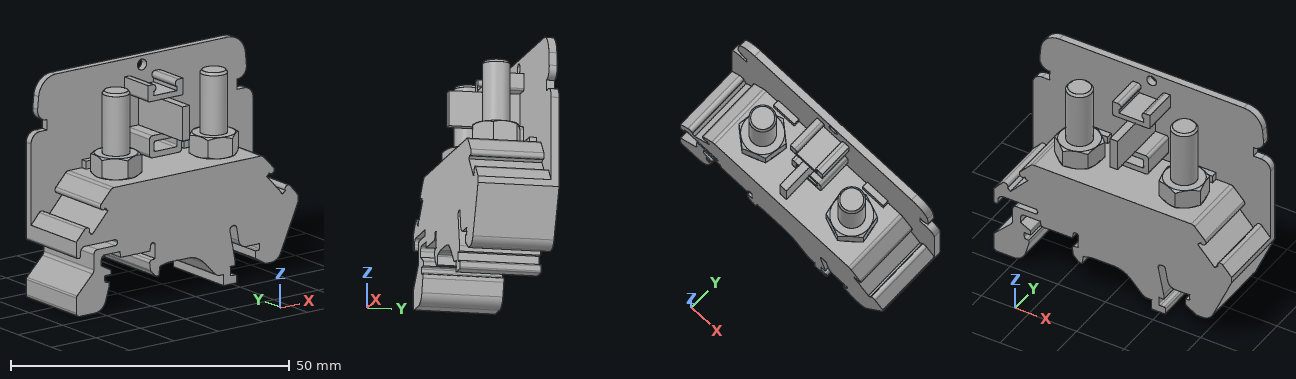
import cadquery as cq
import math

half_length = 25.0
depth = 15.0
plate_thickness = 1.5
plate_front = depth - plate_thickness
plate_top = 41.4
deck_z = 22.8

hole_diameter = 2.0
hole_z = 39.7

stud_x = 11.0
stud_y = 6.7
stud_diameter = 5.0
stud_top = 38.45
stud_tip_height = 0.5
stud_tip_inset = 0.35
nut_sides = 6
nut_width = 8.0
nut_height = 4.0
nut_face_radius = 3.95
nut_bevel_angle = 30.0
nut_turn = 20.0

tab_width = 5.1
tab_depth = 1.25
tab_top = 24.3

bracket_front = 6.5
holder_half_width = 3.95
holder_bottom = 35.0
holder_floor = 36.0
holder_top = 38.1
holder_round = 0.35
cavity_half_width = 2.6
lip_radius = 0.7
lip_foot_z = 36.7
web_width = 1.6
web_front = 0.4
tube_half_width = 3.6
tube_bottom = 24.4
tube_top = 28.55
tube_round = 0.6
bore_bottom = 25.5
bore_top = 27.45
bore_round = 0.4

ARC_THROUGH = None

underside = [
    (-half_length, 10.9, 0.45), (-24.05, 10.9, 0.45), (-24.05, 12.95, 1.0),
    (-15.75, 12.95, 0.5), (-15.75, 11.85, 0.5), (-21.05, 11.85, 0.85),
    (-21.05, 7.75, 1.0), (-half_length, 3.8, 0.5), (-half_length, 0, 0.75),
    (-18.9, 0, 2.65), (-17.6, 4.45, 0), (-17.6, 5.25, 0), (-18.5, 5.25, 0.5),
    (-18.65, 6.6, 0.25), (-17.2, 6.6, 0), (-17.2, 7.5, 0.2), (-19.35, 8.65, 0),
    (-19.35, 10.55, 0.85), (-15.2, 10.55, 0), (-15.0, 9.45, 0), (-8.45, 9.45, 0),
    (-8.2, 10.85, 0.4), (-7.25, 10.85, 0.4),
    (-7.25, 7.85, 0), (-8.55, 7.6, 0.45), (-8.3, 5.7, 0.4), (-7.05, 4.45, 0),
    (-6.4, 4.45, 0), (-6.15, 6.2, 0.3),
    (-4.3, 6.6, 4.0), (2.3, 6.6, 5.05), (6.65, 2.1, 1.75),
    (8.15, 2.1, 0), (8.15, 0, 0), (11.15, 0, 0.3), (11.15, 1.55, 0.3), (9.7, 1.55, 0.3),
    (9.7, 3.3, 0), (10.75, 3.3, 0), (10.75, 4.3, 0),
    (9.4, 10.85, 0.7), (11.0, 10.85, 0.5), (11.8, 6.45, 1.65),
    (16.2, 6.45, 0), (16.2, 5.25, 0.25), (15.3, 5.25, 0), (15.3, 3.85, 0),
    (17.65, 2.45, 0), (20.4, 2.45, 2.4), (half_length, 12.85, 0),
]

plate_edge = [
    (-half_length, 31.25, 2.0), (-21.4, 31.25, 0), (-21.4, 33.15, 0),
    (-23.75, 33.15, 2.1), (-22.95, plate_top, 3.95),
]

body_edge = [
    (-half_length, 14.05, 0), (-23.15, 16.1, 0), (-22.2, 16.15, ARC_THROUGH), (-22.05, 15.4, 0),
    (-21.45, 14.85, 0), (-17.9, 18.7, 0),
    (-18.45, 19.25, 0), (-19.35, 19.2, ARC_THROUGH), (-19.4, 20.2, 0), (-16.95, deck_z, 1.0),
]


def flat(point):
    """Two coordinates of a vector in the sketch plane."""
    return point.x, point.y


def extrude_between(sketch, y_front, y_back):
    """Extrude an XZ wire from y_front back to y_back."""
    return sketch.extrude(y_front - y_back).translate((0, y_front, 0))


def rounded_outline(corners):
    """Close a polygon in XZ, rounding corners with tangent arcs and drawing ARC_THROUGH arcs."""
    stations = []
    for index, (x, z, radius) in enumerate(corners):
        corner = cq.Vector(x, z)
        if radius is ARC_THROUGH or radius == 0:
            stations.append((radius, corner, corner, corner))
            continue
        before = corners[index - 1]
        after = corners[(index + 1) % len(corners)]
        to_before = (cq.Vector(before[0], before[1]) - corner).normalized()
        to_after = (cq.Vector(after[0], after[1]) - corner).normalized()
        half_angle = to_before.getAngle(to_after) / 2
        setback = radius / math.tan(half_angle)
        bisector = (to_before + to_after).normalized()
        middle = corner + bisector * (radius / math.sin(half_angle) - radius)
        stations.append((radius, corner + to_before * setback, middle, corner + to_after * setback))

    wire = cq.Workplane("XZ").moveTo(*flat(stations[0][3]))
    through = None
    for radius, start, middle, end in stations[1:] + stations[:1]:
        if radius is ARC_THROUGH:
            through = middle
            continue
        if through is None:
            wire = wire.lineTo(*flat(start))
        else:
            wire = wire.threePointArc(flat(through), flat(start))
            through = None
        if radius > 0:
            wire = wire.threePointArc(flat(middle), flat(end))
    return wire.close()


def close_over(left_edge):
    """Close the underside: up the mirrored right edge, then down the left edge."""
    right_edge = [(-x, z, radius) for x, z, radius in left_edge]
    return rounded_outline(underside + right_edge + left_edge[::-1])


def rounded_block(half_width, bottom, top, radius, y_front, y_back):
    """Block centred on X = 0 with its four long edges rounded."""
    corners = [
        (-half_width, bottom, radius), (half_width, bottom, radius),
        (half_width, top, radius), (-half_width, top, radius),
    ]
    return extrude_between(rounded_outline(corners), y_front, y_back)


def make_plate():
    """Thin back plate over the whole height, with its pilot hole."""
    plate = extrude_between(close_over(plate_edge), plate_front, depth)
    hole = cq.Workplane("XZ").center(0, hole_z).circle(hole_diameter / 2)
    return plate.cut(extrude_between(hole, plate_front, depth))


def make_body():
    """Thick lower body, whose flat top is the deck that carries the nuts."""
    return extrude_between(close_over(body_edge), 0, plate_front)


def make_nut(turn):
    """Hexagon nut on the origin, both ends bevelled by a cone."""
    corner_radius = nut_width / 2 / math.cos(math.pi / nut_sides)
    bevel_height = (corner_radius - nut_face_radius) * math.tan(math.radians(nut_bevel_angle))
    hexagon = cq.Workplane("XY").polygon(nut_sides, 2 * corner_radius).extrude(nut_height)
    bevel_profile = [
        (0, 0), (nut_face_radius, 0), (corner_radius, bevel_height),
        (corner_radius, nut_height - bevel_height), (nut_face_radius, nut_height), (0, nut_height),
    ]
    envelope = cq.Workplane("XZ").polyline(bevel_profile).close().revolve(360, (0, 0), (0, 1))
    return hexagon.rotate((0, 0, 0), (0, 0, 1), turn).intersect(envelope)


def make_stud():
    """Stud on the origin with a bevelled tip."""
    stud = cq.Workplane("XY").circle(stud_diameter / 2).extrude(stud_top - deck_z)
    return stud.faces(">Z").edges().chamfer(stud_tip_height, stud_tip_inset)


def make_tab():
    """Small block on the plate, centred on X = 0."""
    tab = cq.Workplane("XY").box(tab_width, tab_depth, tab_top - deck_z, centered=(True, False, False))
    return tab.translate((0, plate_front - tab_depth, deck_z))


def make_label_holder():
    """Channel open at the top, with a rounded lip on each wall."""
    lip_point = cavity_half_width - (holder_top - lip_foot_z)
    right_half = [
        (holder_half_width, holder_bottom, holder_round), (holder_half_width, holder_top, 0),
        (lip_point, holder_top, lip_radius),
        (cavity_half_width, lip_foot_z, 0), (cavity_half_width, holder_floor, 0),
    ]
    left_half = [(-x, z, radius) for x, z, radius in reversed(right_half)]
    return extrude_between(rounded_outline(right_half + left_half), bracket_front, plate_front)


def make_web():
    """Thin upright wall between the tube and the label holder."""
    web = cq.Workplane("XY").box(
        web_width, plate_front - web_front, holder_bottom - tube_top, centered=(True, False, False)
    )
    return web.translate((0, web_front, tube_top))


def make_tube():
    """Rectangular tube closed at the back by the plate."""
    tube = rounded_block(tube_half_width, tube_bottom, tube_top, tube_round, bracket_front, plate_front)
    bore = rounded_block(cavity_half_width, bore_bottom, bore_top, bore_round, bracket_front, plate_front)
    return tube.cut(bore)


result = make_plate().union(make_body())
for feature in (make_label_holder(), make_web(), make_tube()):
    result = result.union(feature)
for side in (-1, 1):
    stud_foot = (side * stud_x, stud_y, deck_z)
    result = result.union(make_nut(-side * nut_turn).translate(stud_foot))
    result = result.union(make_stud().translate(stud_foot))
    result = result.union(make_tab().translate((side * stud_x, 0, 0)))